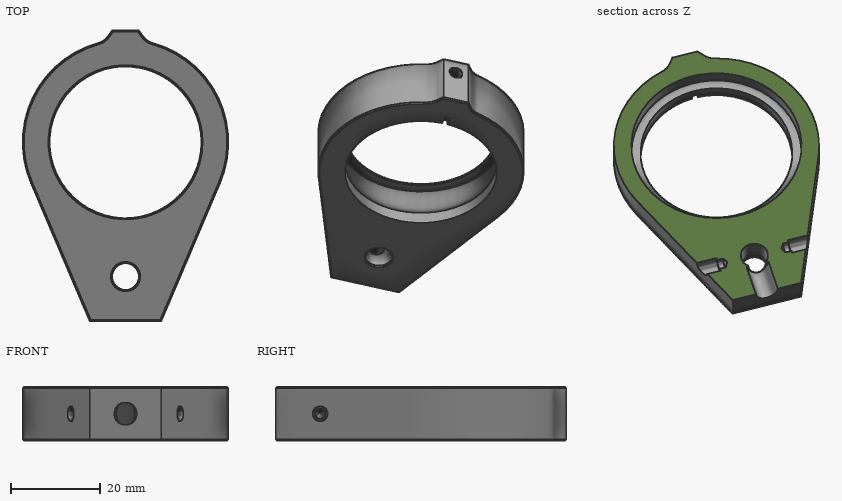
import cadquery as cq
import math

thickness = 12.0
ring_radius = 23.0
tip_y = -40.0
tip_half_width = 8.0
edge_chamfer = 0.3

tab_y = 25.0
tab_half_width = 2.9
tab_flank_angle = 37.0
tab_fillet = 4.0

bore_radius = 16.95
seat_radius = 19.0
bottom_lip = 3.0
top_lip = 0.8

slot_width = 1.3
slot_height = 1.05

tab_hole_diameter = 3.0
tab_hole_z = 8.45

post_y = -30.0
post_diameter = 6.0
tip_hole_diameter = 5.0
tip_hole_depth = 7.5

side_hole_diameter = 3.3
side_hole_depth = 3.9
pilot_diameter = 2.3
pilot_depth = 1.3

drill_point_angle = 118.0

mid_z = thickness / 2


def drill_point_length(diameter):
    """Axial length of the conical end of a drilled hole."""
    return diameter / 2 / math.tan(math.radians(drill_point_angle / 2))


def arm_tangent_point():
    """Point where the straight side from the tip corner touches the ring."""
    corner_distance = math.hypot(tip_half_width, tip_y)
    corner_angle = math.atan2(tip_y, tip_half_width)
    angle = corner_angle + math.acos(ring_radius / corner_distance)
    return ring_radius * math.cos(angle), ring_radius * math.sin(angle)


def tab_root_point():
    """Point where the right tab flank meets the ring."""
    flank_x = math.sin(math.radians(tab_flank_angle))
    flank_y = -math.cos(math.radians(tab_flank_angle))
    along = tab_half_width * flank_x + tab_y * flank_y
    corner_excess = tab_half_width**2 + tab_y**2 - ring_radius**2
    length = -along - math.sqrt(along**2 - corner_excess)
    return tab_half_width + length * flank_x, tab_y + length * flank_y


tangent_x, tangent_y = arm_tangent_point()
root_x, root_y = tab_root_point()


def make_blank():
    """Ring, arm and tab in one outline, with chamfered top and bottom edges."""
    blank = (
        cq.Workplane("XY")
        .moveTo(-tip_half_width, tip_y)
        .lineTo(tip_half_width, tip_y)
        .lineTo(tangent_x, tangent_y)
        .threePointArc((ring_radius, 0), (root_x, root_y))
        .lineTo(tab_half_width, tab_y)
        .lineTo(-tab_half_width, tab_y)
        .lineTo(-root_x, root_y)
        .threePointArc((-ring_radius, 0), (-tangent_x, tangent_y))
        .close()
        .extrude(thickness)
    )
    for side in (-1, 1):
        root = (side * root_x, root_y, mid_z)
        blank = blank.edges(cq.selectors.NearestToPointSelector(root)).fillet(tab_fillet)
    return blank.faces("<Z or >Z").chamfer(edge_chamfer)


def make_rim(y, z, radius, inward):
    """Chamfer cone for a round hole edge at (0, y, z); inward is the Z direction into the body."""
    return (
        cq.Workplane("XY", origin=(0, y, z))
        .circle(radius + edge_chamfer)
        .workplane(offset=inward * edge_chamfer)
        .circle(radius)
        .loft()
    )


def make_bore():
    """Through bore with a wider seat between the lips and a chamfered top rim."""
    seat_top = thickness - top_lip
    bore = cq.Workplane("XY").circle(bore_radius).extrude(thickness)
    seat = (
        cq.Workplane("XY")
        .workplane(offset=bottom_lip)
        .circle(seat_radius)
        .extrude(seat_top - bottom_lip)
    )
    rim = make_rim(0, thickness, bore_radius, -1)
    return bore.union(seat).union(rim)


def make_key_slot():
    """Notch from the bore axis out to the seat radius, crossing the lower part of the bottom lip."""
    return cq.Workplane("XY").box(
        slot_width, seat_radius, slot_height, centered=(True, False, False)
    )


def make_tab_hole():
    """Radial hole from the bore seat out through the tab."""
    return cq.Workplane("XZ", origin=(0, tab_y, tab_hole_z)).circle(tab_hole_diameter / 2).extrude(tab_y)


def make_post_hole():
    """Vertical through hole, chamfered at both ends."""
    hole = cq.Workplane("XY").center(0, post_y).circle(post_diameter / 2).extrude(thickness)
    for z, inward in ((0, 1), (thickness, -1)):
        rim = make_rim(post_y, z, post_diameter / 2, inward)
        hole = hole.union(rim)
    return hole


def make_tip_hole():
    """Hole along Y from the flat tip, its conical drill point breaking into the post hole."""
    radius = tip_hole_diameter / 2
    full_end = tip_y + tip_hole_depth
    profile = [
        (0, tip_y),
        (radius, tip_y),
        (radius, full_end),
        (0, full_end + drill_point_length(tip_hole_diameter)),
    ]
    return (
        cq.Workplane("XY", origin=(0, 0, mid_z))
        .polyline(profile)
        .close()
        .revolve(360, (0, 0, 0), (0, 1, 0))
    )


def make_side_hole(side):
    """Stepped blind hole along X with a conical drill point; side is -1 for the -X side, +1 for +X."""
    side_slope = (tangent_x - tip_half_width) / (tangent_y - tip_y)
    face_x = tip_half_width + side_slope * (post_y - tip_y)
    wide_end = face_x - side_hole_depth
    pilot_end = wide_end - pilot_depth
    point_x = pilot_end - drill_point_length(pilot_diameter)
    profile = [
        (side * point_x, 0),
        (side * pilot_end, pilot_diameter / 2),
        (side * wide_end, pilot_diameter / 2),
        (side * wide_end, side_hole_diameter / 2),
        (side * ring_radius, side_hole_diameter / 2),
        (side * ring_radius, 0),
    ]
    return (
        cq.Workplane("XY", origin=(0, post_y, mid_z))
        .polyline(profile)
        .close()
        .revolve(360, (0, 0, 0), (1, 0, 0))
    )


housing = (
    make_blank()
    .cut(make_bore())
    .cut(make_key_slot())
    .cut(make_tab_hole())
    .cut(make_post_hole())
    .cut(make_tip_hole())
)
for side in (-1, 1):
    housing = housing.cut(make_side_hole(side))

result = cq.Compound.makeCompound([housing.val()])